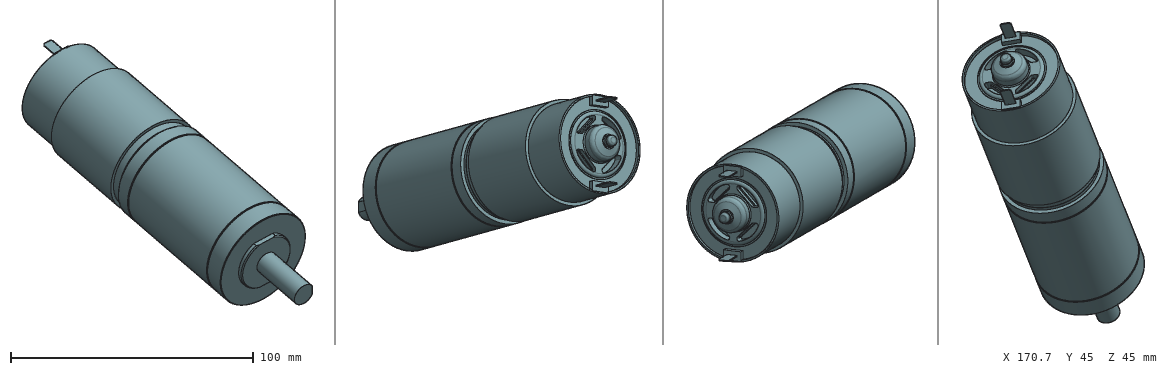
import cadquery as cq
import math


gearbox_radius = 22.5
gearbox_length = 68.0
gearbox_edge_chamfer = 0.3
joint_width = 0.5
joint_depth = 0.2
front_joint_x = -9.1
rear_joint_x = 6.4 - gearbox_length

pilot_radius = 13.0
pilot_height = 2.1
pilot_across_flats = 24.0
pilot_chamfer = 0.5
shaft_radius = 5.0
shaft_end_x = 27.0
shaft_flat_depth = 0.5
shaft_flat_length = 19.0

can_radius = 20.9
spigot_radius = 20.8
spigot_length = 1.6
neck_length = 5.2
sleeve_radius = 22.35
sleeve_length = 39.5
can_rear_length = 21.3
sleeve_front_x = -gearbox_length - neck_length
sleeve_rear_x = sleeve_front_x - sleeve_length
can_rear_x = sleeve_rear_x - can_rear_length

rim_inner_radius = 20.1
cap_recess = 1.6
cap_x = can_rear_x + cap_recess
hub_base_radius = 14.7
hub_base_height = 0.3
hub_outer_radius = 14.0
hub_inner_radius = 12.4
hub_height = 1.1
hub_x = cap_x - hub_height

window_outer_radius = 12.2
window_chord_distance = 8.5
vertical_spoke_width = 3.4
horizontal_spoke_width = 6.8
window_corner_radius = 0.9
window_depth = 4.0
window_ledge_width = 0.6
window_ledge_depth = 2.0

boss_radius = 7.6
boss_top_radius = 3.1
boss_projection = 6.3
boss_shoulder_projection = 4.6
boss_edge_radius = 2.3
boss_base_fillet = 0.5
collar_radius = 2.5
collar_projection = 7.6
stub_radius = 2.3
stub_tip_fillet = 1.0
overall_length = 170.65
stub_end_x = shaft_end_x - overall_length

terminal_width = 4.6
terminal_thickness = 0.5
terminal_offset = 18.0
terminal_tip_chamfer = 0.7
insulator_width = 8.0
insulator_inner_z = 16.0
insulator_outer_z = 20.3
insulator_projection = 0.6


def cylinder(x_start, x_end, radius):
    """Cylinder along the motor axis between two X positions."""
    return cq.Workplane("YZ", origin=(x_start, 0, 0)).circle(radius).extrude(x_end - x_start)


def ring_groove(x_center, width, radius, depth):
    """Ring that cuts a shallow groove around a cylinder."""
    x_start = x_center - width / 2
    return cylinder(x_start, x_start + width, radius + 1).cut(
        cylinder(x_start, x_start + width, radius - depth)
    )


def block(x_start, x_end, y_size, z_start, z_end):
    """Box centred on Y between X and Z limits."""
    return cq.Workplane("XY").box(
        x_end - x_start, y_size, z_end - z_start, centered=(False, True, False)
    ).translate((x_start, 0, z_start))


def make_gearbox():
    gearbox = cylinder(-gearbox_length, 0, gearbox_radius)
    gearbox = gearbox.faces(">X").chamfer(gearbox_edge_chamfer)
    for joint_x in (front_joint_x, rear_joint_x):
        gearbox = gearbox.cut(ring_groove(joint_x, joint_width, gearbox_radius, joint_depth))
    return gearbox


def make_pilot():
    half_flats = pilot_across_flats / 2
    pilot = cylinder(0, pilot_height, pilot_radius).faces(">X").chamfer(pilot_chamfer)
    return pilot.intersect(block(0, pilot_height, 2 * pilot_radius, -half_flats, half_flats))


def make_shaft():
    shaft = cylinder(0, shaft_end_x, shaft_radius)
    flat = cq.Workplane("XY").box(
        shaft_flat_length, shaft_radius, 2 * shaft_radius, centered=(False, False, True)
    ).translate((shaft_end_x - shaft_flat_length, shaft_radius - shaft_flat_depth, 0))
    return shaft.cut(flat)


def make_can():
    spigot_rear_x = -gearbox_length - spigot_length
    can = cylinder(can_rear_x, spigot_rear_x, can_radius)
    can = can.union(cylinder(spigot_rear_x, -gearbox_length, spigot_radius))
    can = can.union(cylinder(sleeve_rear_x, sleeve_front_x, sleeve_radius))
    return can.cut(cylinder(can_rear_x, cap_x, rim_inner_radius))


def make_hub():
    """Raised disc on the end cap with a rounded edge above a thin base flange."""
    round_foot_x = cap_x - hub_base_height
    middle = math.sqrt(0.5)
    round_middle = (
        round_foot_x - (hub_height - hub_base_height) * middle,
        hub_inner_radius + (hub_outer_radius - hub_inner_radius) * middle,
    )
    profile = (
        cq.Workplane("XY")
        .moveTo(cap_x, 0)
        .lineTo(hub_x, 0)
        .lineTo(hub_x, hub_inner_radius)
        .threePointArc(round_middle, (round_foot_x, hub_outer_radius))
        .lineTo(round_foot_x, hub_base_radius)
        .lineTo(cap_x, hub_base_radius)
        .close()
    )
    return profile.revolve(360, (0, 0, 0), (1, 0, 0))


def diagonal_slab(x_start, x_end, near_distance, far_distance):
    """Slab between two distances from the axis, measured along the +Y +Z diagonal."""
    slab = block(x_start, x_end, 2 * window_outer_radius, near_distance, far_distance)
    return slab.rotate((0, 0, 0), (1, 0, 0), -45)


def make_window():
    """Pocket bounded by a rim arc, a straight inner chord with a ledge, and two spokes."""
    floor_x = hub_x + window_depth
    size = 2 * window_outer_radius
    disc = cylinder(hub_x, floor_x, window_outer_radius)
    quadrant = block(hub_x, floor_x, size, horizontal_spoke_width / 2, size)
    quadrant = quadrant.translate((0, (size + vertical_spoke_width) / 2, 0))
    window = disc.intersect(quadrant)
    window = window.intersect(diagonal_slab(hub_x, floor_x, window_chord_distance, size))
    window = window.edges("|X").fillet(window_corner_radius)
    ledge_distance = window_chord_distance + window_ledge_width
    return window.cut(
        diagonal_slab(hub_x + window_ledge_depth, floor_x, window_chord_distance, ledge_distance)
    )


def make_windows():
    window = make_window()
    upper_pair = window.union(window.mirror("XZ"))
    return upper_pair.union(upper_pair.mirror("XY"))


def make_boss():
    profile = (
        cq.Workplane("XY")
        .moveTo(cap_x, 0)
        .lineTo(cap_x, boss_radius + boss_base_fillet)
        .lineTo(hub_x, boss_radius + boss_base_fillet)
        .radiusArc((hub_x - boss_base_fillet, boss_radius), -boss_base_fillet)
        .lineTo(can_rear_x - boss_shoulder_projection, boss_radius)
        .lineTo(can_rear_x - boss_projection, boss_top_radius)
        .lineTo(can_rear_x - boss_projection, 0)
        .close()
    )
    boss = profile.revolve(360, (0, 0, 0), (1, 0, 0))
    shoulder_center = (can_rear_x - boss_shoulder_projection, 0, 0)
    shoulder = boss.edges("%CIRCLE").edges(cq.selectors.NearestToPointSelector(shoulder_center))
    boss = shoulder.fillet(boss_edge_radius)
    stub = cylinder(stub_end_x, cap_x, stub_radius).faces("<X").fillet(stub_tip_fillet)
    collar = cylinder(can_rear_x - collar_projection, cap_x, collar_radius)
    return boss.union(collar).union(stub)


def make_terminal():
    """Upper terminal tab with its insulator pad."""
    pad = block(
        can_rear_x - insulator_projection, cap_x, insulator_width, insulator_inner_z, insulator_outer_z
    )
    pad = pad.intersect(cylinder(can_rear_x - insulator_projection, cap_x, can_radius))
    half_thickness = terminal_thickness / 2
    tab = block(
        stub_end_x, cap_x, terminal_width,
        terminal_offset - half_thickness, terminal_offset + half_thickness,
    )
    tab = tab.faces("<X").edges("|Z").chamfer(terminal_tip_chamfer)
    return pad.union(tab)


result = make_gearbox().union(make_pilot()).union(make_shaft()).union(make_can())
result = result.union(make_hub()).cut(make_windows()).union(make_boss())
for terminal_angle in (0, 180):
    result = result.union(make_terminal().rotate((0, 0, 0), (1, 0, 0), terminal_angle))